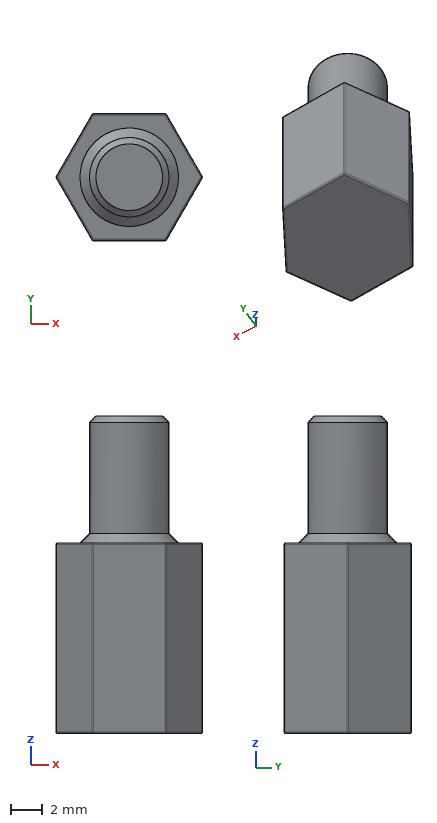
import cadquery as cq
import math

across_flats = 8.0
body_height = 12.0
edge_radius = 0.1

total_height = 20.0
stud_radius = 2.5
tip_chamfer = 0.4

collar_flare = 0.6
collar_radius = stud_radius + collar_flare


def make_body():
    """Hexagonal prism with corners on the X axis and all edges rounded."""
    across_corners = across_flats / math.cos(math.pi / 6)
    prism = cq.Workplane("XY").polygon(6, across_corners).extrude(body_height)
    return prism.edges().fillet(edge_radius)


def make_stud():
    """Turned stud with a flared collar and a chamfered tip, rooted inside the body."""
    root_height = body_height / 2
    profile = [
        (0, root_height),
        (collar_radius, root_height),
        (collar_radius, body_height),
        (stud_radius, body_height + collar_flare),
        (stud_radius, total_height - tip_chamfer),
        (stud_radius - tip_chamfer, total_height),
        (0, total_height),
    ]
    return cq.Workplane("XZ").polyline(profile).close().revolve(360, (0, 0, 0), (0, 1, 0))


result = make_body().union(make_stud())